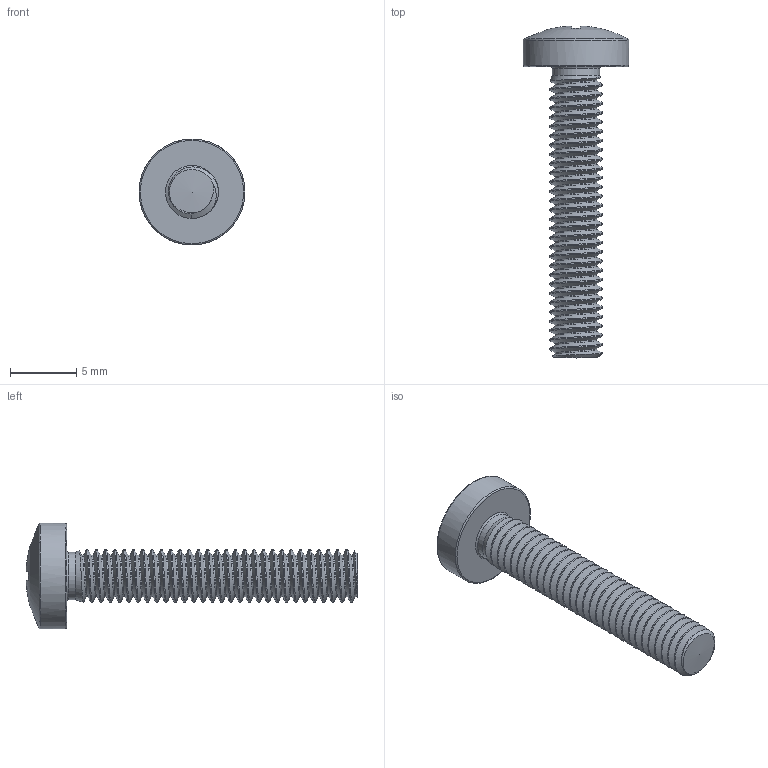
import cadquery as cq
import math


head_radius = 4.0
head_height = 3.075
head_side_height = 2.05
dome_edge_fillet = 0.1
seat_edge_fillet = 0.1

wing_width = 0.65
recess_top_radius = 1.95
recess_bottom_radius = 0.6
recess_depth = 1.8

shank_length = 22.0
neck_radius = 1.8
neck_length = 0.65
neck_fillet = 0.12
neck_cone_length = 0.65
head_overlap = 0.1
tip_cone_height = 0.06

pitch = 0.7
crest_radius = 2.0
root_radius = 1.57
crest_width = pitch / 8
flank_slope = math.tan(math.radians(30))
end_chamfer = 0.3
groove_start = 0.85
groove_start_angle = -92.0
groove_overshoot = 0.05


def revolve_about_y(profile):
    """Close a profile drawn in the XY plane and turn it about the screw axis."""
    return profile.close().revolve(360, (0, 0, 0), (0, 1, 0))


def make_head():
    """Cylinder with a spherical dome and small fillets on both outer edges."""
    dome_rise = head_height - head_side_height
    dome_radius = (head_radius**2 + dome_rise**2) / (2 * dome_rise)
    mid_x = head_radius / 2
    mid_y = head_height - dome_radius + math.sqrt(dome_radius**2 - mid_x**2)
    head = revolve_about_y(
        cq.Workplane("XY")
        .lineTo(head_radius, 0)
        .lineTo(head_radius, head_side_height)
        .threePointArc((mid_x, mid_y), (0, head_height))
    )
    dome_edge = cq.NearestToPointSelector((0, head_side_height, 0))
    head = head.edges(dome_edge).fillet(dome_edge_fillet)
    return head.faces("<Y").edges().fillet(seat_edge_fillet)


def make_recess():
    """Four tapered wings: a cross clipped by a cone that narrows into the head."""
    recess_bottom = head_height - recess_depth
    cone = revolve_about_y(
        cq.Workplane("XY")
        .moveTo(0, recess_bottom)
        .lineTo(recess_bottom_radius, recess_bottom)
        .lineTo(recess_top_radius, head_height)
        .lineTo(0, head_height)
    )
    wing_span = 2 * recess_top_radius
    wing = cq.Workplane("XY").box(wing_span, 2 * head_height, wing_width)
    cross = wing.union(wing.rotate((0, 0, 0), (0, 1, 0), 90))
    return cone.intersect(cross)


def make_shank():
    """Neck under the head, a cone out to the thread crest, and a chamfered end with a shallow cone."""
    end_plane = tip_cone_height - shank_length
    return revolve_about_y(
        cq.Workplane("XY")
        .moveTo(0, head_overlap)
        .lineTo(neck_radius + neck_fillet, head_overlap)
        .lineTo(neck_radius + neck_fillet, 0)
        .radiusArc((neck_radius, -neck_fillet), -neck_fillet)
        .lineTo(neck_radius, -neck_length)
        .lineTo(crest_radius, -neck_length - neck_cone_length)
        .lineTo(crest_radius, end_plane + end_chamfer)
        .lineTo(crest_radius - end_chamfer, end_plane)
        .lineTo(0, -shank_length)
    )


def make_helical_bar(corners, turns):
    """Solid bar coiled right-handed about Z; corners are the (radius, height) points of its section."""
    helices = [
        cq.Wire.makeHelix(pitch, pitch, radius).translate(cq.Vector(0, 0, height))
        for radius, height in corners
    ]
    faces = []
    for edge, next_edge in zip(helices, helices[1:] + helices[:1]):
        side = cq.Face.makeRuledSurface(edge, next_edge)
        for turn in range(turns):
            faces.append(side.translate(cq.Vector(0, 0, turn * pitch)))
    section = [cq.Vector(radius, 0, height) for radius, height in corners]
    cap = cq.Face.makeFromWires(cq.Wire.makePolygon(section, close=True))
    faces.append(cap)
    faces.append(cap.translate(cq.Vector(0, 0, turns * pitch)))
    return cq.Workplane(obj=cq.Solid.makeSolid(cq.Shell.makeShell(faces)))


def make_thread_groove():
    """V groove cutter that starts beside the neck and runs out past the tip."""
    turns = math.ceil((shank_length - groove_start) / pitch) + 1
    outer_radius = crest_radius + groove_overshoot
    crest_half = (pitch - crest_width) / 2
    outer_half = crest_half + groove_overshoot * flank_slope
    root_half = crest_half - (crest_radius - root_radius) * flank_slope
    groove = make_helical_bar(
        [
            (root_radius, -root_half),
            (outer_radius, -outer_half),
            (outer_radius, outer_half),
            (root_radius, root_half),
        ],
        turns,
    )
    return (
        groove.rotate((0, 0, 0), (0, 0, 1), groove_start_angle)
        .rotate((0, 0, 0), (1, 0, 0), 90)
        .translate((0, -groove_start, 0))
    )


recessed_head = make_head().cut(make_recess())
threaded_shank = make_shank().cut(make_thread_groove())
result = recessed_head.union(threaded_shank)